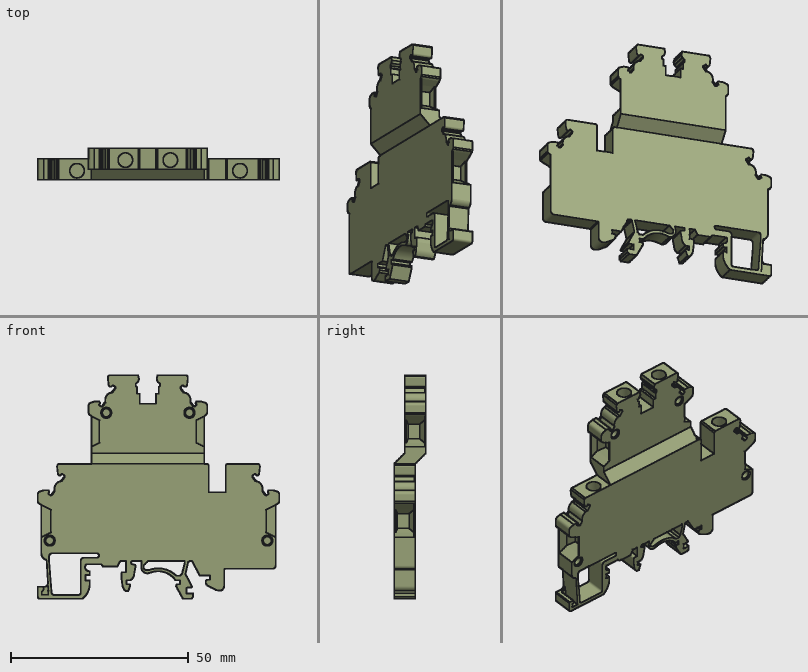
import cadquery as cq


length = 68.0
height = 63.0
thickness = 6.0
step = 3.0

lower_top = 38.0
lower_floor = 12.6
rail_top = 10.6
right_floor = 8.4
foot_ledge = 9.7
upper_left = 14.3
upper_length = 33.45
upper_floor = lower_top + step
lower_middle = length / 2
upper_middle = upper_left + upper_length / 2

lower_inset = 1.0
upper_inset = 0.8
back_wall = 0.4
membrane = 0.3
terminal_y = 2.6

pocket_top = 11.55
pocket_slope = 0.5
funnel_height = 6.4
funnel_width = 5.1
funnel_depth = 2.05
throat_width = 3.25
throat_height = 4.1

screw_diameter = 4.1
screw_depth = 8.15
pin_diameter = 2.3
pin_mouth_diameter = 3.0
pin_mouth_depth = 0.35
pin_depth = 3.4

slot_width = 4.75
slot_left = 48.15
slot_floor = 30.05
slot_edge_chamfer = 0.4

foot_right = 23.25
hook_left = 43.45
foot_web = 0.8


def extrude_outline(points, depth=thickness, front=0.0):
    """Extrude a closed XZ outline from y = front toward +Y.

    A point (x, z) ends a straight edge; (mid_x, mid_z, x, z) ends an arc through the middle point.
    """
    sketch = cq.Workplane("XZ", origin=(0, front, 0)).moveTo(*points[0])
    for point in points[1:]:
        if len(point) == 4:
            sketch = sketch.threePointArc(point[:2], point[2:])
        else:
            sketch = sketch.lineTo(*point)
    return sketch.close().extrude(-depth)


def mirrored_pair(solid, middle):
    """Join a left half to its mirror image about the plane x = middle."""
    return solid.union(solid.mirror("YZ", (middle, 0, 0)))


def half_plate(half_length, depth_below_top, side_inset):
    return extrude_outline([
        (half_length, 0),
        (5.9, 0),
        (5.5, -0.4),
        (5.45, -0.9),
        (5.65, -2.65),
        (5.85, -3.1, 6.4, -3.3),
        (6.9, -2.85),
        (7.6, -3.4),
        (7.5, -3.7),
        (6.4, -4.95),
        (6.0, -5.0),
        (5.1, -5.8, 4.7, -7.1),
        (4.7, -7.55),
        (3.7, -8.9),
        (3.0, -8.35),
        (3.3, -7.9),
        (3.05, -7.4),
        (1.7, -7.4),
        (0.7, -7.75),
        (0.2, -8.1, 0, -8.65),
        (0, -10.6),
        (0.2, -11.1),
        (side_inset, -pocket_top),
        (side_inset, -depth_below_top),
        (half_length, -depth_below_top),
    ])


def marker_grooves():
    """Deepened faces of the two marker grooves, closed by a membrane at the back."""
    depth = thickness - membrane
    upper = extrude_outline([(7.6, -3.4), (7.5, -3.7), (6.4, -4.95), (6.7, -4.95), (7.7, -3.7)], depth)
    lower = extrude_outline([(4.7, -7.55), (3.7, -8.9), (4.0, -8.85), (4.8, -7.75)], depth)
    return upper.union(lower)


def side_pocket(side_inset, floor_x):
    slope_height = pocket_slope * (floor_x - side_inset)
    funnel_top = -pocket_top - slope_height
    funnel_bottom = funnel_top - funnel_height
    recess = extrude_outline([
        (side_inset, -pocket_top),
        (floor_x, funnel_top),
        (floor_x, funnel_bottom),
        (side_inset, funnel_bottom - slope_height),
    ], thickness - back_wall)
    funnel_y = thickness - back_wall - funnel_width / 2
    funnel_z = (funnel_top + funnel_bottom) / 2
    funnel = (
        cq.Workplane("YZ", origin=(floor_x, 0, funnel_z))
        .center(funnel_y, 0)
        .rect(funnel_width, funnel_height)
        .workplane(offset=funnel_depth)
        .center(terminal_y - funnel_y, 0)
        .rect(throat_width, throat_height)
        .loft(combine=True)
    )
    return recess.union(funnel)


def screw_hole(x):
    bottom = cq.Workplane("XY", origin=(x, terminal_y, -screw_depth))
    return bottom.circle(screw_diameter / 2).extrude(screw_depth)


def pin_hole(x, z):
    """Blind hole in the -Y face with a tapered mouth."""
    radius = pin_diameter / 2
    half_section = [
        (0, 0),
        (pin_mouth_diameter / 2, 0),
        (radius, pin_mouth_depth),
        (radius, pin_depth),
        (0, pin_depth),
    ]
    return (
        cq.Workplane("XY", origin=(x, 0, z))
        .polyline(half_section)
        .close()
        .revolve(360, (0, 0, 0), (0, 1, 0))
    )


def terminal_half(half_length, depth_below_top, side_inset, pocket_floor, screw_x, pin_x, pin_z):
    return (
        half_plate(half_length, depth_below_top, side_inset)
        .cut(marker_grooves())
        .cut(side_pocket(side_inset, pocket_floor))
        .cut(screw_hole(screw_x))
        .cut(pin_hole(pin_x, pin_z))
    )


def lower_level():
    half = terminal_half(
        half_length=lower_middle,
        depth_below_top=lower_top - lower_floor,
        side_inset=lower_inset,
        pocket_floor=3.75,
        screw_x=11.1,
        pin_x=3.4,
        pin_z=-21.6,
    )
    plate = mirrored_pair(half.translate((0, 0, lower_top)), lower_middle)
    slot_right = slot_left + slot_width
    slot = extrude_outline([
        (slot_left - slot_edge_chamfer, lower_top),
        (slot_left, lower_top - slot_edge_chamfer),
        (slot_left, slot_floor),
        (slot_right, slot_floor),
        (slot_right, lower_top - slot_edge_chamfer),
        (slot_right + slot_edge_chamfer, lower_top),
    ])
    return plate.cut(slot)


def upper_level():
    half = terminal_half(
        half_length=upper_length / 2,
        depth_below_top=height - upper_floor,
        side_inset=upper_inset,
        pocket_floor=3.05,
        screw_x=10.4,
        pin_x=5.0,
        pin_z=-10.6,
    )
    gap_floor = -8.0
    half_gap = extrude_outline([
        (14.0, 0),
        (14.3, -1.1),
        (14.0, -1.9),
        (13.3, -2.45),
        (13.3, -3.05),
        (13.75, -3.4),
        (13.75, -5.25),
        (14.5, -5.25),
        (14.5, gap_floor),
        (upper_length / 2, gap_floor),
        (upper_length / 2, 0),
    ])
    half = half.cut(half_gap).translate((upper_left, step, height))
    return mirrored_pair(half, upper_middle)


def level_step():
    """Sloped band that carries the upper level over the lower one."""
    left = upper_left + upper_inset
    return (
        cq.Workplane("YZ", origin=(left, 0, 0))
        .polyline([
            (0, lower_top),
            (thickness, lower_top),
            (thickness + step, upper_floor),
            (step, upper_floor),
        ])
        .close()
        .extrude(upper_length - 2 * upper_inset)
    )


def foot():
    """Spring foot at the left end: a closed frame with a slotted toe and a rail notch."""
    toe_slot = [(3.05, 1.15), (1.2, 1.15), (1.2, 2.05), (1.8, 2.8), (1.5, 3.5)]
    frame = extrude_outline([
        (lower_inset, lower_floor),
        (1.4, 11.6, 2.3, 11.0),
        (2.5, 10.75),
        *toe_slot,
        (0.2, 3.5),
        (0, 3.25),
        (0, 0.7),
        (0.2, 0.2, 0.7, 0),
        (12.6, 0),
        (14.1, 1.8, 14.7, 3.75),
        (14.7, 5.25),
        (13.5, 5.25),
        (13.5, 6.65),
        (14.7, 6.65),
        (14.7, 7.75),
        (14.15, 7.9),
        (13.4, 8.8, 13.75, foot_ledge),
        (17.95, foot_ledge),
        (18.35, 9.1),
        (22.45, 9.1),
        (foot_right, rail_top),
        (foot_right, lower_floor),
    ])
    web_outline = toe_slot + [(2.2, 3.5), (2.65, 3.75), (2.85, 4.35)]
    web = extrude_outline(web_outline, foot_web, thickness - foot_web)
    return frame.union(web)


def foot_window():
    return extrude_outline([
        (4.3, 12.8),
        (3.55, 12.6, 3.25, 12.0),
        (3.25, 10.55),
        (3.95, 1.9),
        (4.15, 1.35, 4.7, 1.15),
        (11.3, 1.15),
        (11.9, 1.3, 12.1, 1.9),
        (12.1, 10.6),
        (12.4, 11.35, 13.1, 11.6),
        (16.7, 11.6),
        (17.3, 12.2, 16.7, 12.8),
    ])


def body_floor():
    """Strip of the body between the straight part of the level and the rail."""
    return extrude_outline([
        (foot_right, lower_floor),
        (foot_right, rail_top),
        (hook_left, rail_top),
        (hook_left, lower_floor),
    ])


def centre_latch():
    return extrude_outline([
        (24.8, rail_top),
        (24.8, 7.55),
        (24.15, 7.55),
        (23.65, 7.4, 23.5, 6.95),
        (23.5, 6.05),
        (23.8, 4.0),
        (24.15, 2.9, 24.75, 2.2),
        (25.5, 2.2),
        (26.1, 3.9),
        (25.9, 4.15),
        (25.0, 4.15),
        (25.0, 5.25),
        (26.1, 5.25),
        (26.65, 5.7, 27.2, 7.15),
        (27.6, 9.25),
        (27.5, 9.6),
        (26.65, 9.8),
        (26.3, 10.2, 26.65, rail_top),
    ])


def spring_clip():
    """Curved spring arm ending in a claw that grips the rail."""
    arm = extrude_outline([
        (29.25, rail_top),
        (29.1, 9.2),
        (29.5, 7.8, 30.95, 7.15),
        (32.65, 7.6),
        (35.9, 7.4, 38.75, 5.25),
        (40.0, 5.25),
        (40.0, 4.15),
        (39.2, 4.15),
        (38.9, 3.6),
        (40.9, 0),
        (43.3, 0),
        (43.7, 0.55),
        (43.7, 1.55),
        (41.9, 1.55),
        (41.9, 3.1),
        (43.25, 3.2),
        (43.45, 3.5),
        (41.6, 7.0),
        (42.35, 10.35),
        (42.7, rail_top),
    ])
    opening = extrude_outline([
        (31.0, rail_top),
        (30.0, 9.6),
        (29.85, 8.65, 30.7, 8.15),
        (31.35, 8.15),
        (35.3, 8.5, 39.0, 6.5),
        (40.05, 6.5),
        (40.6, 7.15),
        (41.35, 10.05),
        (41.35, rail_top),
    ])
    return arm.cut(opening)


def rail_hook():
    """Fixed hook and the lower right corner of the body."""
    return extrude_outline([
        (hook_left, rail_top),
        (45.55, 6.5),
        (48.4, 6.5),
        (48.4, 5.45),
        (47.75, 5.45),
        (47.25, 5.0),
        (47.25, 4.35),
        (47.75, 3.75),
        (50.25, 2.45),
        (51.0, 2.3),
        (52.1, 2.65, 52.5, 3.7),
        (52.5, right_floor - 0.2),
        (52.7, right_floor),
        (65.95, right_floor),
        (66.7, right_floor + 0.3, length - lower_inset, right_floor + 1.0),
        (length - lower_inset, lower_floor),
        (hook_left, lower_floor),
    ])


result = lower_level()
for section in (level_step(), upper_level(), foot(), body_floor(), centre_latch(), spring_clip(), rail_hook()):
    result = result.union(section)
result = result.cut(foot_window())